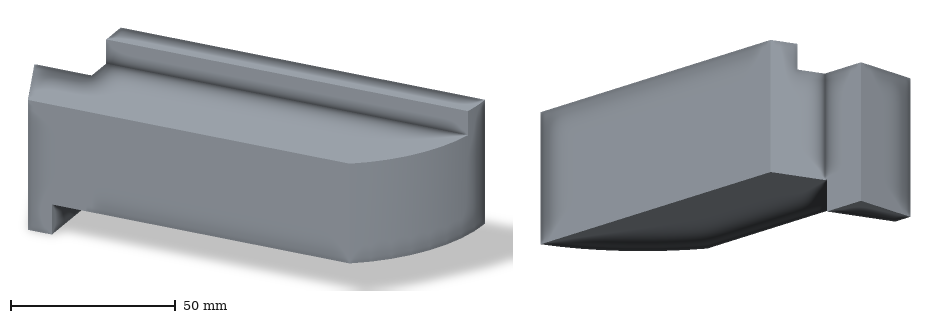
import cadquery as cq
import math

length = 142.4
width = 45.0
height = 51.0

left_slant = 10.1
foot_length = 18.2
notch_length = 19.4
nose_start = 118.8

notch_depth = 20.0
rail_width = 10.0
rail_height = 8.0
foot_height = 10.0

nose_run = length - nose_start
nose_radius = (nose_run**2 + width**2) / (2 * nose_run)
nose_mid_angle = math.asin(width / nose_radius) / 2
nose_mid = (
    length - nose_radius * (1 - math.cos(nose_mid_angle)),
    width - nose_radius * math.sin(nose_mid_angle),
)

notch_front = width - notch_depth
block = (
    cq.Workplane("XY")
    .moveTo(left_slant, 0)
    .lineTo(nose_start, 0)
    .threePointArc(nose_mid, (length, width))
    .lineTo(notch_length, width)
    .lineTo(notch_length, notch_front)
    .lineTo(0, notch_front)
    .close()
    .extrude(height)
)

rail_cut = cq.Workplane("XY").box(length, width - rail_width, rail_height, centered=False)
rail_cut = rail_cut.translate((0, 0, height - rail_height))

right_cut = cq.Workplane("XY").box(length - foot_length, width, foot_height, centered=False)
right_cut = right_cut.translate((foot_length, 0, 0))

result = block.cut(rail_cut).cut(right_cut)